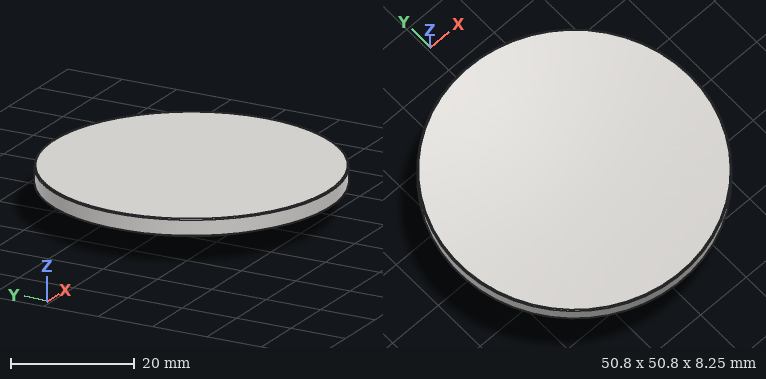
import cadquery as cq

diameter = 50.8
height = 8.25
convex_sag = 5.4
concave_sag = 1.65
bevel = 0.2

radius = diameter / 2
rim_radius = radius - bevel


def arc_height(sag, half_chord, distance):
    """Height above the vertex, at a distance from the axis, of an arc with this sag."""
    arc_radius = (half_chord**2 + sag**2) / (2 * sag)
    return arc_radius - (arc_radius**2 - distance**2) ** 0.5


convex_middle = (radius / 2, arc_height(convex_sag, radius, radius / 2))
vertex_height = height - concave_sag
concave_middle = (
    rim_radius / 2,
    vertex_height + arc_height(concave_sag, rim_radius, rim_radius / 2),
)

half_section = (
    cq.Workplane("XZ")
    .moveTo(0, 0)
    .threePointArc(convex_middle, (radius, convex_sag))
    .lineTo(radius, height - bevel)
    .lineTo(rim_radius, height)
    .threePointArc(concave_middle, (0, vertex_height))
    .close()
)

result = half_section.revolve(360, (0, 0, 0), (0, 1, 0))